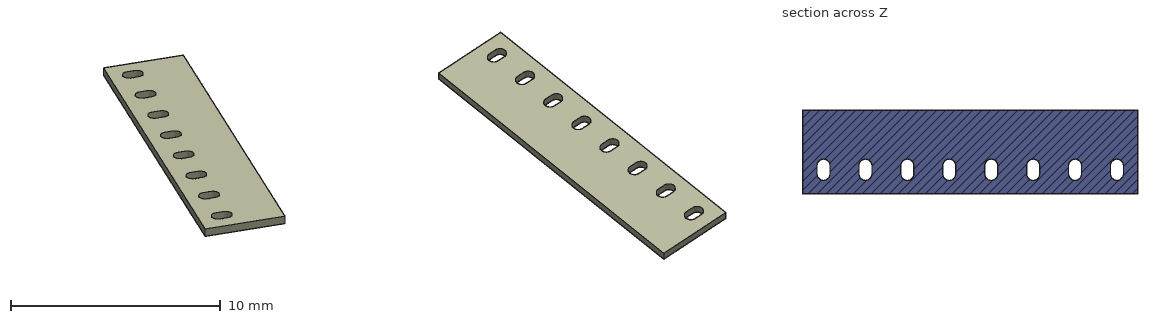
import cadquery as cq

length = 16.0
width = 4.0
thickness = 0.42

slot_count = 8
slot_pitch = length / slot_count
slot_width = 0.6
slot_length = 1.0
slot_edge_distance = 1.15

slot_row_y = slot_edge_distance - width / 2


def make_plate():
    return cq.Workplane("XY").box(length, width, thickness)


def make_slots():
    return (
        cq.Workplane("XY")
        .center(0, slot_row_y)
        .rarray(slot_pitch, 0.16, slot_count, 1)
        .slot2D(slot_length, slot_width, angle=90)
        .extrude(thickness, both=True)
    )


result = make_plate().cut(make_slots())